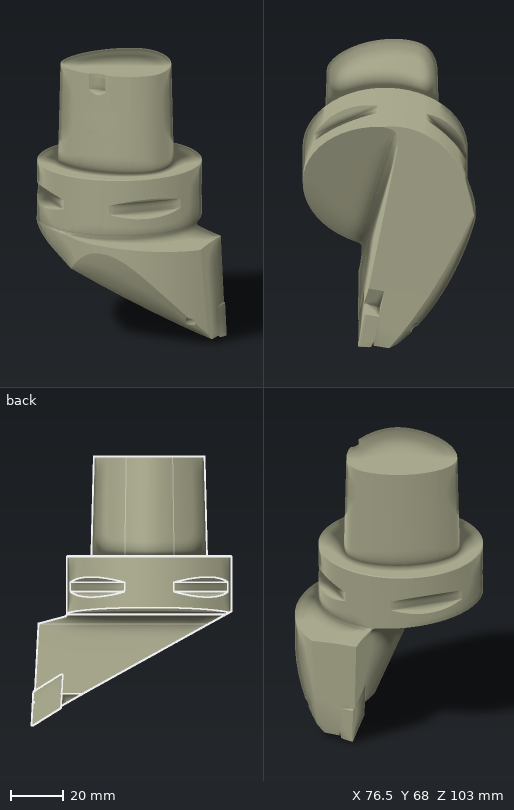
import cadquery as cq
import math


SHANK_HEIGHT = 38.0
SHANK_RADIUS = 22.1
LOBE_COUNT = 3
LOBE_SPACING = 360 / LOBE_COUNT
SHANK_LOBE = 1.4
SHANK_TAPER = 1 / 40
FIRST_LOBE_ANGLE = 90
LOBE_HALF_SPAN = 36
SPLINE_STEPS = 12

NOTCH_RADIUS = 4.9
NOTCH_AXIS_Y = -22.8
NOTCH_RIM_Z = 31.8
NOTCH_POINT_SLOPE = 0.84

FLANGE_RADIUS = 63.0 / 2
FLANGE_HEIGHT = 22.4
FLANGE_CHAMFER = 0.3

GROOVE_COUNT = 4
GROOVE_FLOOR_DISTANCE = 27.9
GROOVE_TOP_Z = -10.2
GROOVE_STEP_Z = -13.2
GROOVE_BOTTOM_Z = -13.8
GROOVE_LIP = 0.1
GROOVE_OVERRUN = 1.0
GROOVE_FLARE = math.tan(math.radians(30))

SHOULDER_ANGLE = 15
SHOULDER_FILLET = 0.8
NECK_BACK_RADIUS = 31.8
NECK_FLAT_START_X = -15.2
NECK_FLAT_END = (-5.3, -33.2)
NECK_LOW_Y = -36.5
NECK_LOW_X1 = 7.5
NECK_LOW_X2 = 9.2
NECK_FRONT_RADIUS = 39.1
NECK_BOTTOM_Z = -68.0
TRIM = 61.8

END_WALL_TOP = (42.3, -25.8)
APPROACH_ANGLE = 93

UNDERSIDE_START = (-FLANGE_RADIUS, -21.2)
UNDERSIDE_ANGLE = 29
FOLD_Z = -52.3
UNDERSIDE_END = (44.1, -63.4)
BELLY_CENTRE = (39.1, -2.1)
BELLY_RADIUS = 79.8

RAKE_Y = 0.6
RAKE_FILLET = 4.0
CLEARANCE_EDGE_Z = -19.8
CLEARANCE_ANGLE = 4.7

INSERT_REACH = (45.0, -65.0)
INSERT_EDGE = 13.4
INSERT_ANGLE = 55
INSERT_NOSE = 0.4
INSERT_TOP_Y = 0.2
INSERT_LAND = 0.7
INSERT_THICKNESS = 5.8
INSERT_RELIEF_ANGLE = 7
FACET_START = (1.2, 0.8)
FACET_SETBACK = 3.9

SEAT_Y = INSERT_TOP_Y - INSERT_THICKNESS
SEAT_TOP_Z = -52.7

SPOT_DIAMETER = 4.0
SPOT_CENTRE = (39.0, -55.3)
SPOT_FLOOR_Y = -19.1


def insert_direction(angle):
    """Unit vector in X and Z at the given angle in degrees from +X towards +Z."""
    return (math.cos(math.radians(angle)), math.sin(math.radians(angle)))


def sharp_tip():
    """Where the two cutting edges would meet without the rounded nose."""
    bisector = insert_direction(APPROACH_ANGLE + INSERT_ANGLE / 2)
    setback = INSERT_NOSE / math.sin(math.radians(INSERT_ANGLE / 2))
    nose_x = INSERT_REACH[0] - INSERT_NOSE
    nose_z = INSERT_REACH[1] + INSERT_NOSE
    return (nose_x - setback * bisector[0], nose_z - setback * bisector[1])


def rhombus_corners():
    """Corners of the insert in X and Z, starting at the cutting tip."""
    side = insert_direction(APPROACH_ANGLE)
    base = insert_direction(APPROACH_ANGLE + INSERT_ANGLE)
    x, z = sharp_tip()
    return [
        (x, z),
        (x + INSERT_EDGE * side[0], z + INSERT_EDGE * side[1]),
        (x + INSERT_EDGE * (side[0] + base[0]), z + INSERT_EDGE * (side[1] + base[1])),
        (x + INSERT_EDGE * base[0], z + INSERT_EDGE * base[1]),
    ]


def insert_land(top_y):
    """The straight-sided part of the insert, from top_y down to the end of the land."""
    depth = top_y - (INSERT_TOP_Y - INSERT_LAND)
    land = cq.Workplane("XZ", origin=(0, top_y, 0)).polyline(rhombus_corners()).close().extrude(depth)
    return land.edges("|Y").fillet(INSERT_NOSE)


def insert_block(top_y):
    """The land and the relieved sides below it, with the top face at top_y."""
    land = insert_land(top_y)
    relief = land.faces("<Y").wires().toPending().workplane()
    return relief.extrude(INSERT_THICKNESS - INSERT_LAND, taper=INSERT_RELIEF_ANGLE)


def tip_facet():
    """Wedge that bevels the bottom of the insert under its tip."""
    start, height = FACET_START
    slope = height / (FACET_SETBACK - start)
    profile = [
        (0, height + start * slope),
        (FACET_SETBACK, 0),
        (0, 0),
    ]
    bisector = insert_direction(APPROACH_ANGLE + INSERT_ANGLE / 2)
    tip_x, tip_z = sharp_tip()
    plane = cq.Plane(
        origin=(tip_x, SEAT_Y, tip_z),
        xDir=(bisector[0], 0, bisector[1]),
        normal=(-bisector[1], 0, bisector[0]),
    )
    return cq.Workplane(plane).polyline(profile).close().extrude(INSERT_EDGE, both=True)


def make_insert():
    return insert_block(INSERT_TOP_Y).cut(tip_facet())


def lobed_point(angle, mean_radius, z):
    """Point of the lobed section whose outward normal is at the given angle in degrees."""
    normal = math.radians(angle)
    phase = LOBE_COUNT * math.radians(angle - FIRST_LOBE_ANGLE)
    reach = mean_radius + SHANK_LOBE * math.cos(phase)
    shift = -LOBE_COUNT * SHANK_LOBE * math.sin(phase)
    x = reach * math.cos(normal) - shift * math.sin(normal)
    y = reach * math.sin(normal) + shift * math.cos(normal)
    return cq.Vector(x, y, z)


def lobed_wire(z):
    """Lobed shank section at height z: three lobes and the three flatter sides between them."""
    mean_radius = SHANK_RADIUS - SHANK_TAPER * z
    edges = []
    for lobe in range(LOBE_COUNT):
        lobe_angle = FIRST_LOBE_ANGLE + LOBE_SPACING * lobe
        spans = [
            (lobe_angle - LOBE_HALF_SPAN, lobe_angle + LOBE_HALF_SPAN),
            (lobe_angle + LOBE_HALF_SPAN, lobe_angle + LOBE_SPACING - LOBE_HALF_SPAN),
        ]
        for start, end in spans:
            step = (end - start) / SPLINE_STEPS
            points = [lobed_point(start + step * i, mean_radius, z) for i in range(SPLINE_STEPS + 1)]
            tangents = [
                cq.Vector(-math.sin(math.radians(a)), math.cos(math.radians(a)), 0) for a in (start, end)
            ]
            edges.append(cq.Edge.makeSpline(points, tangents=tangents))
    return cq.Wire.assembleEdges(edges)


def make_shank():
    shank = cq.Workplane(cq.Solid.makeLoft([lobed_wire(0), lobed_wire(SHANK_HEIGHT)], True))
    return shank.cut(notch_drill())


def notch_drill():
    """Round drill with a conical point, standing partly outside the -Y side of the shank."""
    profile = [
        (0, SHANK_HEIGHT),
        (NOTCH_RADIUS, SHANK_HEIGHT),
        (NOTCH_RADIUS, NOTCH_RIM_Z),
        (0, NOTCH_RIM_Z - NOTCH_POINT_SLOPE * NOTCH_RADIUS),
    ]
    drill = cq.Workplane("XZ").polyline(profile).close().revolve(360, (0, 0), (0, 1))
    return drill.translate((0, NOTCH_AXIS_Y, 0))


def turned_blank():
    """Flange and, below it, everything under the conical shoulder."""
    slope = math.radians(SHOULDER_ANGLE)
    turn = math.pi / 2 - slope
    corner_z = -FLANGE_HEIGHT - SHOULDER_FILLET * math.tan(turn / 2)
    rim_z = corner_z - (TRIM - FLANGE_RADIUS) * math.tan(slope)
    centre = (FLANGE_RADIUS + SHOULDER_FILLET, -FLANGE_HEIGHT)

    def fillet_point(angle):
        return (
            centre[0] - SHOULDER_FILLET * math.cos(angle),
            centre[1] - SHOULDER_FILLET * math.sin(angle),
        )

    profile = (
        cq.Workplane("XZ")
        .moveTo(0, 0)
        .lineTo(FLANGE_RADIUS - FLANGE_CHAMFER, 0)
        .lineTo(FLANGE_RADIUS, -FLANGE_CHAMFER)
        .lineTo(FLANGE_RADIUS, -FLANGE_HEIGHT)
        .threePointArc(fillet_point(turn / 2), fillet_point(turn))
        .lineTo(TRIM, rim_z)
        .lineTo(TRIM, NECK_BOTTOM_Z)
        .lineTo(0, NECK_BOTTOM_Z)
        .close()
    )
    return profile.revolve(360, (0, 0), (0, 1))


def arc_mid(start, end, centre):
    """Point halfway along the shorter arc from start to end about the centre."""
    dx = start[0] + end[0] - 2 * centre[0]
    dy = start[1] + end[1] - 2 * centre[1]
    scale = math.dist(start, centre) / math.hypot(dx, dy)
    return (centre[0] + dx * scale, centre[1] + dy * scale)


def neck_prism():
    """Plan outline of the neck, extruded down from the flange."""
    back_start = (-NECK_BACK_RADIUS, 0)
    flat_start = (NECK_FLAT_START_X, -math.sqrt(NECK_BACK_RADIUS**2 - NECK_FLAT_START_X**2))

    low_start = (NECK_LOW_X1, NECK_LOW_Y)
    run = NECK_LOW_X1 - NECK_FLAT_END[0]
    rise = NECK_FLAT_END[1] - NECK_LOW_Y
    heel_centre = (NECK_LOW_X1, NECK_LOW_Y + (run**2 + rise**2) / (2 * rise))

    low_end = (NECK_LOW_X2, NECK_LOW_Y)
    front_centre = (NECK_LOW_X2, NECK_LOW_Y + NECK_FRONT_RADIUS)
    front_end = (NECK_LOW_X2 + NECK_FRONT_RADIUS, front_centre[1])

    outline = (
        cq.Workplane("XY", origin=(0, 0, -FLANGE_HEIGHT))
        .moveTo(*back_start)
        .threePointArc(arc_mid(back_start, flat_start, (0, 0)), flat_start)
        .lineTo(*NECK_FLAT_END)
        .threePointArc(arc_mid(NECK_FLAT_END, low_start, heel_centre), low_start)
        .lineTo(*low_end)
        .threePointArc(arc_mid(low_end, front_end, front_centre), front_end)
        .lineTo(back_start[0], front_end[1])
        .close()
    )
    return outline.extrude(NECK_BOTTOM_Z + FLANGE_HEIGHT)


def gripper_grooves():
    """Grooves around the flange rim, each with a flat floor and two flared sides."""
    reach = FLANGE_RADIUS + GROOVE_OVERRUN
    strip_distance = GROOVE_FLOOR_DISTANCE + GROOVE_LIP
    profile = [
        (GROOVE_FLOOR_DISTANCE, GROOVE_TOP_Z),
        (reach, GROOVE_TOP_Z + (reach - GROOVE_FLOOR_DISTANCE) * GROOVE_FLARE),
        (reach, GROOVE_BOTTOM_Z - (reach - strip_distance) * GROOVE_FLARE),
        (strip_distance, GROOVE_BOTTOM_Z),
        (GROOVE_FLOOR_DISTANCE, GROOVE_STEP_Z),
    ]
    groove = cq.Workplane("XZ").polyline(profile).close().extrude(FLANGE_RADIUS, both=True)
    spacing = 360 / GROOVE_COUNT
    grooves = cq.Workplane()
    for i in range(GROOVE_COUNT):
        grooves = grooves.add(groove.rotate((0, 0, 0), (0, 0, 1), spacing * (i + 0.5)))
    return grooves


def rake_clearance():
    """Space on the +Y side, bounded by the rake face, a fillet and the sloped flange bottom."""
    slope = math.tan(math.radians(CLEARANCE_ANGLE))
    top_at_rake = CLEARANCE_EDGE_Z - (FLANGE_RADIUS - RAKE_Y) * slope
    profile = [
        (RAKE_Y, top_at_rake),
        (TRIM, CLEARANCE_EDGE_Z + (TRIM - FLANGE_RADIUS) * slope),
        (TRIM, NECK_BOTTOM_Z),
        (RAKE_Y, NECK_BOTTOM_Z),
    ]
    block = cq.Workplane("YZ").polyline(profile).close().extrude(TRIM, both=True)
    inner_edge = cq.selectors.NearestToPointSelector((0, RAKE_Y, top_at_rake))
    return block.edges(inner_edge).fillet(RAKE_FILLET)


def below_underside():
    """Space below the sloped underside, which changes slope slightly at the fold."""
    start_x, start_z = UNDERSIDE_START
    slope = math.tan(math.radians(UNDERSIDE_ANGLE))
    fold = (start_x + (start_z - FOLD_Z) / slope, FOLD_Z)
    end_slope = (UNDERSIDE_END[1] - fold[1]) / (UNDERSIDE_END[0] - fold[0])
    profile = [
        (-TRIM, start_z + (start_x + TRIM) * slope),
        fold,
        (TRIM, fold[1] + (TRIM - fold[0]) * end_slope),
        (-TRIM, fold[1] + (TRIM - fold[0]) * end_slope),
    ]
    return cq.Workplane("XZ").polyline(profile).close().extrude(TRIM, both=True)


def beyond_end_wall():
    """Space on the +X side of the leaning end wall."""
    lean = math.tan(math.radians(APPROACH_ANGLE - 90))
    x, z = END_WALL_TOP
    profile = [
        (x + z * lean, 0),
        (x + (z - NECK_BOTTOM_Z) * lean, NECK_BOTTOM_Z),
        (TRIM, NECK_BOTTOM_Z),
        (TRIM, 0),
    ]
    return cq.Workplane("XZ").polyline(profile).close().extrude(TRIM, both=True)


def belly_cylinder():
    """Round bar along X whose surface is the rounded underside of the neck."""
    return cq.Workplane("YZ").center(*BELLY_CENTRE).circle(BELLY_RADIUS).extrude(TRIM, both=True)


def insert_seat():
    """Pocket that fits the insert, open to the rake face and, at its lower end, to both sides."""
    opening = cq.Workplane().box(2 * TRIM, RAKE_Y - SEAT_Y, TRIM, centered=(True, False, False))
    opening = opening.translate((0, SEAT_Y, SEAT_TOP_Z - TRIM))
    return insert_block(INSERT_TOP_Y).union(insert_land(RAKE_Y)).union(opening)


def spot_face():
    """Flat-bottomed round recess on the rounded underside, behind the insert."""
    plane = cq.Workplane("XZ", origin=(SPOT_CENTRE[0], SPOT_FLOOR_Y, SPOT_CENTRE[1]))
    return plane.circle(SPOT_DIAMETER / 2).extrude(TRIM)


def make_holder():
    flange = cq.Workplane().circle(FLANGE_RADIUS).extrude(-FLANGE_HEIGHT)
    head = turned_blank().intersect(flange.union(neck_prism()))
    head = head.intersect(belly_cylinder())
    for tool in (rake_clearance(), below_underside(), beyond_end_wall(), insert_seat(), spot_face()):
        head = head.cut(tool)
    for groove in gripper_grooves().vals():
        head = head.cut(cq.Workplane(groove))
    return head.union(make_shank())


holder = make_holder()
insert = make_insert()

result = cq.Compound.makeCompound([holder.solids().val(), insert.solids().val()])